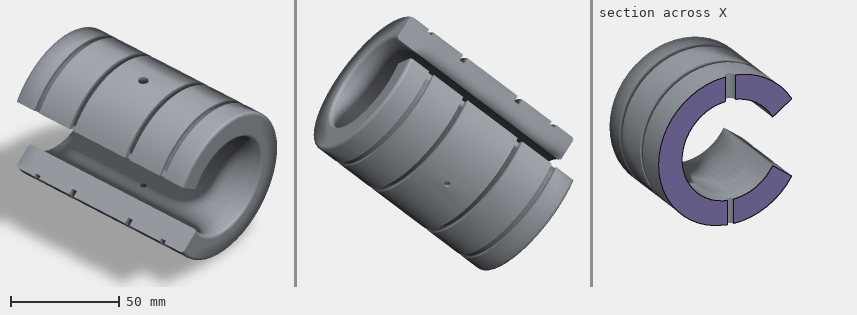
import cadquery as cq
import math

length = 100.0
outer_radius = 37.5
bore_radius = 25.0
end_rounding = 1.5

gap_half_angle = 36.0
gap_apex_offset = 5.3
gap_reach = 2 * outer_radius

groove_width = 2.8
outer_groove_inset = 12.5
outer_groove_depth = 1.5
inner_groove_inset = 33.3
inner_groove_depth = 3.0

top_hole_diameter = 5.0
bottom_hole_diameter = 3.0


def make_sleeve():
    """Plain tube with rounded inner and outer edges at both ends."""
    tube = (
        cq.Workplane("YZ")
        .circle(outer_radius)
        .circle(bore_radius)
        .extrude(length / 2, both=True)
    )
    return tube.faces("<X or >X").edges().fillet(end_rounding)


def make_groove_ring(x_centre, depth):
    """Ring of material to remove from the outer surface."""
    return (
        cq.Workplane("YZ", origin=(x_centre, 0, 0))
        .circle(outer_radius + depth)
        .circle(outer_radius - depth)
        .extrude(groove_width / 2, both=True)
    )


def make_gap_wedge():
    """Triangular prism that opens the sleeve along its full length."""
    half_height = gap_reach * math.tan(math.radians(gap_half_angle))
    far_y = -gap_apex_offset - gap_reach
    return (
        cq.Workplane("YZ")
        .polyline([(-gap_apex_offset, 0), (far_y, half_height), (far_y, -half_height)])
        .close()
        .extrude(length, both=True)
    )


def make_oil_holes():
    """Wide drill through the top wall and narrow drill through the bottom wall."""
    top_drill = cq.Workplane("XY").circle(top_hole_diameter / 2).extrude(2 * outer_radius)
    bottom_drill = cq.Workplane("XY").circle(bottom_hole_diameter / 2).extrude(-2 * outer_radius)
    return top_drill.union(bottom_drill)


result = make_sleeve()
for inset, depth in (
    (outer_groove_inset, outer_groove_depth),
    (inner_groove_inset, inner_groove_depth),
):
    for side in (-1, 1):
        result = result.cut(make_groove_ring(side * (length / 2 - inset), depth))
result = result.cut(make_gap_wedge()).cut(make_oil_holes())